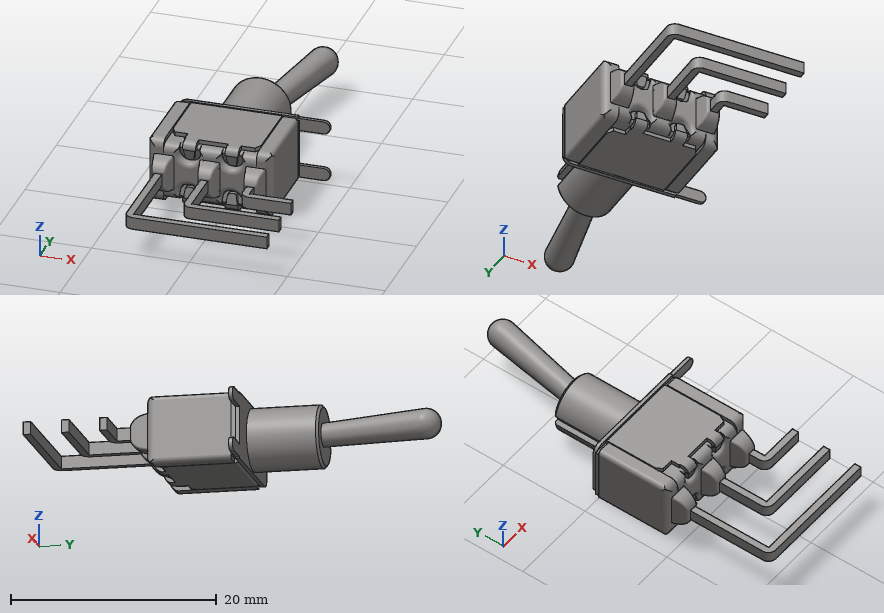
import cadquery as cq
import math


CASE_LENGTH = 12.7
CASE_WIDTH = 6.76
CASE_DEPTH = 8.9
SIDE_EDGE_RADIUS = 0.47
BOTTOM_EDGE_RADIUS = 0.86

STRAP_THICKNESS = 0.42
STRAP_HALF_LENGTH = 4.65
STRAP_GAP = 0.1
WEB_INSET = 0.06
STRAP_BEND_RADIUS = 0.41
STRAP_FOOT_Y = -7.7
KEY_CORNER_Y = -6.75
CORNER_CUT_X = 0.4
CORNER_CUT_Y = 0.7
STRAP_FACE_Z = CASE_WIDTH / 2
STRAP_SEAT_Z = STRAP_FACE_Z - STRAP_THICKNESS

TAB_SPACING = 4.34
TAB_WIDTH = 1.34
TAB_BEND_RADIUS = 0.75
TAB_INSET = 0.12
TAB_BOTTOM_Y = -CASE_DEPTH + TAB_INSET
TAB_BEND_Y = TAB_BOTTOM_Y + TAB_BEND_RADIUS
TAB_BEND_Z = STRAP_FACE_Z - TAB_BEND_RADIUS
TONGUE_END_Z = 1.52
TONGUE_RISE = 0.3
TONGUE_ROOT_WIDTH = 1.15
TONGUE_END_WIDTH = 0.85
TONGUE_CORNER_RADIUS = 0.25

POCKET_MOUTH_RADIUS = 1.6
POCKET_LIP_RADIUS = 0.55
POCKET_RADIUS = POCKET_MOUTH_RADIUS - POCKET_LIP_RADIUS
POCKET_CENTER_Z = 2.26
POCKET_DEPTH = 1.0

TERMINAL_COUNT = 3
TERMINAL_PITCH = 4.7
TERMINAL_THICKNESS = 0.76
TERMINAL_WIDTH = 1.27
TERMINAL_BEND_RADIUS = 0.9
OVERALL_LENGTH = 15.88
TERMINAL_END_X = OVERALL_LENGTH - CASE_LENGTH / 2
TERMINAL_ROW_STEP = 3.81
LOWEST_TERMINAL_Y = -20.44

BOOT_TIP_Y = -10.7
BOOT_SHOULDER_Y = -9.55
BOOT_BASE_LENGTH = 2.05
BOOT_TIP_LENGTH = 1.35
BOOT_BASE_WIDTH = 3.74
BOOT_SHOULDER_WIDTH = 3.44
BOOT_TIP_WIDTH = 1.5
BOOT_BULGE = 0.12
BOOT_TIP_RADIUS = 0.3
BOOT_EDGE_RADIUS = 0.2

BUSHING_DIAMETER = 6.25
BUSHING_TOP_Y = 7.53
BUSHING_CHAMFER = 0.25
KEYWAY_WIDTH = 1.1
KEYWAY_DEPTH = 0.7

LEVER_TILT = 12.0
LEVER_PIVOT_Y = 4.8
LEVER_TIP_RADIUS = 1.5
LEVER_ROOT_RADIUS = 1.09
LEVER_TOP_Y = 19.74
LEVER_LENGTH = (LEVER_TOP_Y - LEVER_TIP_RADIUS - LEVER_PIVOT_Y) / math.cos(math.radians(LEVER_TILT))

BRACKET_THICKNESS = 0.4
BRACKET_HALF_LENGTH = 6.15
BRACKET_WIDTH = 6.66
BRACKET_CORNER_RADIUS = 1.0
LEG_WIDTH = 1.32
LEG_CENTER_Z = 2.54
LEG_END_X = 9.42


def block(x0, x1, y0, y1, z0, z1):
    """Box between two corners."""
    return cq.Workplane("XY").box(x1 - x0, y1 - y0, z1 - z0, centered=False).translate((x0, y0, z0))


def mirrored_in_z(shape):
    """The shape joined to its mirror image across the middle plane of the switch."""
    return shape.union(shape.mirror("XY"))


def make_case():
    """Case block, with its broad faces sunk in the middle and a step at the top to take the strap."""
    half_length = CASE_LENGTH / 2
    half_width = CASE_WIDTH / 2
    blank = block(-half_length, half_length, -CASE_DEPTH, 0, -half_width, half_width)
    case = blank.faces("<Y").edges().fillet(BOTTOM_EDGE_RADIUS)
    case = case.intersect(blank.edges("|Y").fillet(SIDE_EDGE_RADIUS))

    core = block(-half_length, half_length, -CASE_DEPTH, 0, -STRAP_SEAT_Z, STRAP_SEAT_Z)
    core = core.edges("<Y and |X").fillet(BOTTOM_EDGE_RADIUS)
    sunk_half_length = STRAP_HALF_LENGTH + STRAP_GAP
    sunk = block(-sunk_half_length, sunk_half_length, -CASE_DEPTH, 0, -half_width, half_width)
    case = case.cut(sunk.cut(core))

    top_layer = block(-half_length, half_length, -STRAP_THICKNESS, 0, -half_width, half_width)
    web_half_length = half_length - WEB_INSET
    web = block(-web_half_length, web_half_length, -STRAP_THICKNESS, 0, -STRAP_SEAT_Z, STRAP_SEAT_Z)
    return case.cut(top_layer).union(web)


def bend_middle(radius):
    """Middle of a tab bend arc of the given radius, as (Y, Z)."""
    offset = radius * math.sin(math.radians(45))
    return (TAB_BEND_Y - offset, TAB_BEND_Z + offset)


def make_tab_pocket(x):
    """Pocket in the bottom around one tab, open to the broad face, with a rounded lip."""
    lip_offset = POCKET_LIP_RADIUS * math.sin(math.radians(45))
    lip_middle = (POCKET_MOUTH_RADIUS - lip_offset, POCKET_LIP_RADIUS - lip_offset)
    round_end = (
        cq.Workplane("XY")
        .lineTo(POCKET_MOUTH_RADIUS, 0)
        .threePointArc(lip_middle, (POCKET_RADIUS, POCKET_LIP_RADIUS))
        .lineTo(POCKET_RADIUS, POCKET_DEPTH)
        .lineTo(0, POCKET_DEPTH)
        .close()
        .revolve(360, (0, 0, 0), (0, 1, 0))
    )
    mouth = block(-POCKET_RADIUS, POCKET_RADIUS, 0, POCKET_DEPTH, 0, STRAP_FACE_Z - POCKET_CENTER_Z)
    pocket = round_end.union(mouth).translate((x, -CASE_DEPTH, POCKET_CENTER_Z))

    inner_radius = TAB_BEND_RADIUS - STRAP_THICKNESS
    floor_y = TAB_BOTTOM_Y + STRAP_THICKNESS
    inner_y = floor_y + TONGUE_RISE * TAB_BEND_Z / (TAB_BEND_Z - TONGUE_END_Z)
    bed = (
        cq.Workplane("YZ", origin=(x - POCKET_MOUTH_RADIUS, 0, 0))
        .moveTo(0, 0)
        .lineTo(inner_y, 0)
        .lineTo(floor_y, TAB_BEND_Z)
        .threePointArc(bend_middle(inner_radius), (TAB_BEND_Y, STRAP_SEAT_Z))
        .lineTo(0, STRAP_SEAT_Z)
        .close()
        .extrude(2 * POCKET_MOUTH_RADIUS)
    )
    return pocket.cut(bed)


def make_strap_panel():
    """Flat of the strap on the upper broad face, with one lower corner cut higher than the other."""
    tab_outer = (TAB_SPACING + TAB_WIDTH) / 2
    key_inner = -tab_outer - STRAP_GAP
    outline = [
        (-STRAP_HALF_LENGTH, 0),
        (STRAP_HALF_LENGTH, 0),
        (STRAP_HALF_LENGTH, STRAP_FOOT_Y + CORNER_CUT_Y),
        (STRAP_HALF_LENGTH - CORNER_CUT_X, STRAP_FOOT_Y),
        (key_inner, STRAP_FOOT_Y),
        (key_inner, KEY_CORNER_Y),
        (-STRAP_HALF_LENGTH + CORNER_CUT_X, KEY_CORNER_Y),
        (-STRAP_HALF_LENGTH, KEY_CORNER_Y + CORNER_CUT_Y),
    ]
    panel = cq.Workplane("XY", origin=(0, 0, STRAP_SEAT_Z)).polyline(outline).close().extrude(STRAP_THICKNESS)
    return panel.faces(">Y").edges(">Z").fillet(STRAP_BEND_RADIUS)


def make_tab(x):
    """Strap tab that runs down the broad face, bends round the bottom and ends in a tapered tongue."""
    inner_radius = TAB_BEND_RADIUS - STRAP_THICKNESS
    tongue_y = TAB_BOTTOM_Y + TONGUE_RISE
    strip = (
        cq.Workplane("YZ", origin=(-TAB_WIDTH / 2, 0, 0))
        .moveTo(STRAP_FOOT_Y, STRAP_FACE_Z)
        .lineTo(TAB_BEND_Y, STRAP_FACE_Z)
        .threePointArc(bend_middle(TAB_BEND_RADIUS), (TAB_BOTTOM_Y, TAB_BEND_Z))
        .lineTo(tongue_y, TONGUE_END_Z)
        .lineTo(tongue_y + STRAP_THICKNESS, TONGUE_END_Z)
        .lineTo(TAB_BOTTOM_Y + STRAP_THICKNESS, TAB_BEND_Z)
        .threePointArc(bend_middle(inner_radius), (TAB_BEND_Y, STRAP_SEAT_Z))
        .lineTo(STRAP_FOOT_Y, STRAP_SEAT_Z)
        .close()
        .extrude(TAB_WIDTH)
    )
    tongue = (
        cq.Workplane("XZ")
        .moveTo(-TONGUE_END_WIDTH / 2, TONGUE_END_Z)
        .lineTo(TONGUE_END_WIDTH / 2, TONGUE_END_Z)
        .lineTo(TONGUE_ROOT_WIDTH / 2, TAB_BEND_Z)
        .lineTo(-TONGUE_ROOT_WIDTH / 2, TAB_BEND_Z)
        .close()
        .extrude(CASE_DEPTH)
        .edges("|Y and <Z")
        .fillet(TONGUE_CORNER_RADIUS)
    )
    shoulder = block(-TAB_WIDTH / 2, TAB_WIDTH / 2, -CASE_DEPTH, 0, TAB_BEND_Z, STRAP_FACE_Z)
    return strip.intersect(tongue.union(shoulder)).translate((x, 0, 0))


def make_boot(x):
    """Sealing boot at a terminal root: tapered along X, domed along Z."""
    taper = (
        cq.Workplane("XY", origin=(0, 0, -BOOT_BASE_WIDTH / 2))
        .moveTo(-BOOT_BASE_LENGTH / 2, -CASE_DEPTH)
        .lineTo(BOOT_BASE_LENGTH / 2, -CASE_DEPTH)
        .lineTo(BOOT_TIP_LENGTH / 2, BOOT_TIP_Y)
        .lineTo(-BOOT_TIP_LENGTH / 2, BOOT_TIP_Y)
        .close()
        .extrude(BOOT_BASE_WIDTH)
        .edges("|Z and <Y")
        .fillet(BOOT_TIP_RADIUS)
    )
    dome_middle_y = (BOOT_SHOULDER_Y + BOOT_TIP_Y) / 2 - BOOT_BULGE
    dome_middle_z = (BOOT_SHOULDER_WIDTH + BOOT_TIP_WIDTH) / 4 + BOOT_BULGE
    dome = (
        cq.Workplane("YZ", origin=(-BOOT_BASE_LENGTH / 2, 0, 0))
        .moveTo(-CASE_DEPTH, BOOT_BASE_WIDTH / 2)
        .lineTo(BOOT_SHOULDER_Y, BOOT_SHOULDER_WIDTH / 2)
        .threePointArc((dome_middle_y, dome_middle_z), (BOOT_TIP_Y, BOOT_TIP_WIDTH / 2))
        .lineTo(BOOT_TIP_Y, -BOOT_TIP_WIDTH / 2)
        .threePointArc((dome_middle_y, -dome_middle_z), (BOOT_SHOULDER_Y, -BOOT_SHOULDER_WIDTH / 2))
        .lineTo(-CASE_DEPTH, -BOOT_BASE_WIDTH / 2)
        .close()
        .extrude(BOOT_BASE_LENGTH)
    )
    boot = taper.intersect(dome)
    boot = boot.faces("<X or >X").edges("not >Y").fillet(BOOT_EDGE_RADIUS)
    return boot.translate((x, 0, 0))


def make_terminal(x, row_y):
    """Flat terminal from the case, bent toward +X so that its outer face lies at row_y."""
    left = x - TERMINAL_THICKNESS / 2
    half_width = TERMINAL_WIDTH / 2
    drop = block(left, left + TERMINAL_THICKNESS, row_y, -CASE_DEPTH, -half_width, half_width)
    run = block(left, TERMINAL_END_X, row_y, row_y + TERMINAL_THICKNESS, -half_width, half_width)
    return drop.union(run).edges("|Z and <X and <Y").fillet(TERMINAL_BEND_RADIUS)


def make_bushing():
    """Round bushing with a keyway along its -X side, above the bracket."""
    radius = BUSHING_DIAMETER / 2
    bushing = cq.Workplane("XZ").circle(radius).extrude(-BUSHING_TOP_Y).faces(">Y").chamfer(BUSHING_CHAMFER)
    half_key = KEYWAY_WIDTH / 2
    keyway = block(-radius, -radius + KEYWAY_DEPTH, BRACKET_THICKNESS, BUSHING_TOP_Y, -half_key, half_key)
    return bushing.cut(keyway)


def make_lever():
    """Tapered lever with a ball end, tilted toward +X about its pivot inside the bushing."""
    lever = (
        cq.Workplane("XY")
        .lineTo(LEVER_ROOT_RADIUS, 0)
        .lineTo(LEVER_TIP_RADIUS, LEVER_LENGTH)
        .radiusArc((0, LEVER_LENGTH + LEVER_TIP_RADIUS), -LEVER_TIP_RADIUS)
        .close()
        .revolve(360, (0, 0, 0), (0, 1, 0))
    )
    return lever.rotate((0, 0, 0), (0, 0, 1), -LEVER_TILT).translate((0, LEVER_PIVOT_Y, 0))


def make_switch():
    """Case, strap, boots, terminals, bushing and lever as one solid."""
    tab_positions = (-TAB_SPACING / 2, TAB_SPACING / 2)
    switch = make_case()
    for x in tab_positions:
        switch = switch.cut(mirrored_in_z(make_tab_pocket(x)))
    switch = switch.union(mirrored_in_z(make_strap_panel()))
    for x in tab_positions:
        switch = switch.union(mirrored_in_z(make_tab(x)))
    for row in range(TERMINAL_COUNT):
        x = (row - (TERMINAL_COUNT - 1) / 2) * TERMINAL_PITCH
        switch = switch.union(make_boot(x))
        switch = switch.union(make_terminal(x, LOWEST_TERMINAL_Y + row * TERMINAL_ROW_STEP))
    return switch.union(make_bushing()).union(make_lever())


def make_bracket():
    """Flat plate around the bushing with two round-ended legs toward +X."""
    half_width = BRACKET_WIDTH / 2
    bracket = block(-BRACKET_HALF_LENGTH, BRACKET_HALF_LENGTH, 0, BRACKET_THICKNESS, -half_width, half_width)
    bracket = bracket.edges("|Y and <X").fillet(BRACKET_CORNER_RADIUS)
    leg_end_radius = LEG_WIDTH / 2
    leg_inner_z = LEG_CENTER_Z - leg_end_radius
    leg_outer_z = LEG_CENTER_Z + leg_end_radius
    leg_end_x = LEG_END_X - leg_end_radius
    leg = block(0, leg_end_x, 0, BRACKET_THICKNESS, leg_inner_z, leg_outer_z)
    leg_end = cq.Workplane("XZ").circle(leg_end_radius).extrude(-BRACKET_THICKNESS)
    leg_end = leg_end.translate((leg_end_x, 0, LEG_CENTER_Z))
    bracket = bracket.union(mirrored_in_z(leg.union(leg_end)))
    bushing_hole = cq.Workplane("XZ").circle(BUSHING_DIAMETER / 2).extrude(-BRACKET_THICKNESS)
    return bracket.cut(bushing_hole)


switch = make_switch()
bracket = make_bracket()

result = cq.Compound.makeCompound([switch.solids().val(), bracket.solids().val()])